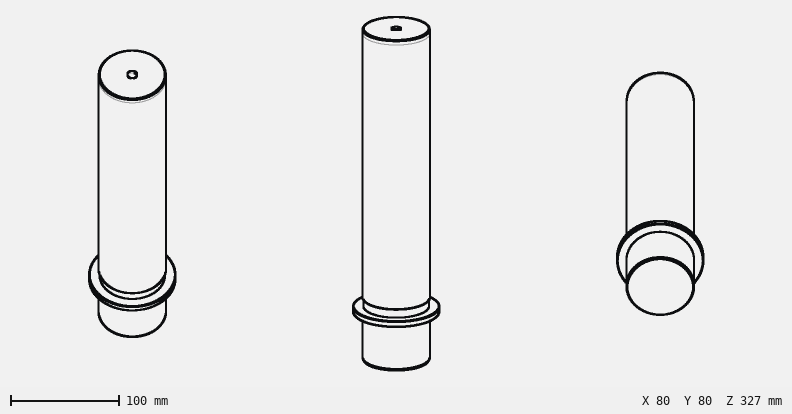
import cadquery as cq

total_height = 327
body_diameter = 62.8
flange_diameter = 80.0
flange_bottom = 46.5
flange_thickness = 6.0
flange_chamfer = 0.5
neck_diameter = 60.8
neck_height = 8.8
shoulder_chamfer_height = 1.0
foot_chamfer_radial = 1.0
foot_chamfer_height = 2.0
tip_taper_radial = 0.3
tip_taper_height = 4.5
tip_chamfer = 1.0
center_hole_diameter = 8.0
center_hole_depth = 19.5
countersink_diameter = 9.0
countersink_depth = 2.0

body_radius = body_diameter / 2
tip_radius = body_radius - tip_taper_radial
neck_radius = neck_diameter / 2
flange_radius = flange_diameter / 2
flange_top = flange_bottom + flange_thickness
neck_top = flange_top + neck_height


def revolve_about_axis(profile):
    """Revolve a closed (radius, height) outline a full turn about Z."""
    return cq.Workplane("XZ").polyline(profile).close().revolve(360, (0, 0, 0), (0, 1, 0))


def turned_body():
    """Revolve the stepped half profile of the pin about Z."""
    profile = [
        (0, 0),
        (body_radius - foot_chamfer_radial, 0),
        (body_radius, foot_chamfer_height),
        (body_radius, flange_bottom),
        (flange_radius - flange_chamfer, flange_bottom),
        (flange_radius, flange_bottom + flange_chamfer),
        (flange_radius, flange_top - flange_chamfer),
        (flange_radius - flange_chamfer, flange_top),
        (neck_radius, flange_top),
        (neck_radius, neck_top - shoulder_chamfer_height),
        (body_radius, neck_top),
        (body_radius, total_height - tip_taper_height),
        (tip_radius, total_height - tip_chamfer),
        (tip_radius - tip_chamfer, total_height),
        (0, total_height),
    ]
    return revolve_about_axis(profile)


def center_hole():
    """Cutter for the blind hole on the axis, countersunk at the top face."""
    hole_radius = center_hole_diameter / 2
    hole_bottom = total_height - center_hole_depth
    profile = [
        (0, hole_bottom),
        (hole_radius, hole_bottom),
        (hole_radius, total_height - countersink_depth),
        (countersink_diameter / 2, total_height),
        (0, total_height),
    ]
    return revolve_about_axis(profile)


result = turned_body().cut(center_hole())